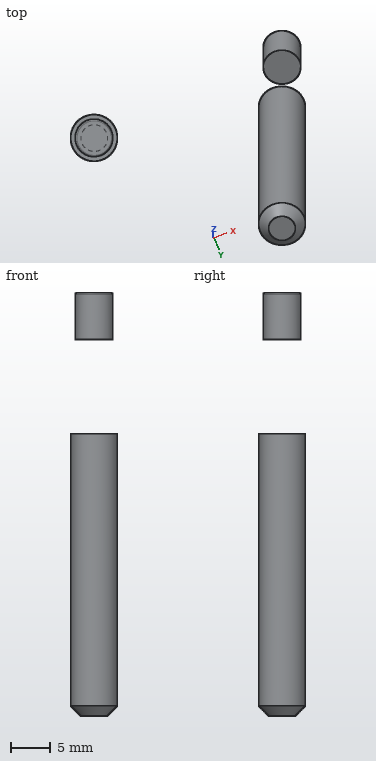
import cadquery as cq

total_height = 54.0

rod_diameter = 6.0
rod_length = 36.0
tip_diameter = 3.4
tip_height = 1.3

plug_diameter = 4.8
plug_length = 6.0
plug_edge_radius = 0.2
plug_bottom = total_height - plug_length


def make_rod():
    """Round rod with a flat top and a truncated conical tip at the bottom."""
    tip_side = (rod_diameter - tip_diameter) / 2
    rod = cq.Workplane("XY").circle(rod_diameter / 2).extrude(rod_length)
    return rod.faces("<Z").chamfer(tip_height, tip_side)


def make_plug():
    """Short cylinder with a small rounding around its top edge."""
    base = cq.Workplane("XY").workplane(offset=plug_bottom)
    plug = base.circle(plug_diameter / 2).extrude(plug_length)
    return plug.faces(">Z").fillet(plug_edge_radius)


rod = make_rod()
plug = make_plug()

result = cq.Compound.makeCompound([rod.val(), plug.val()])